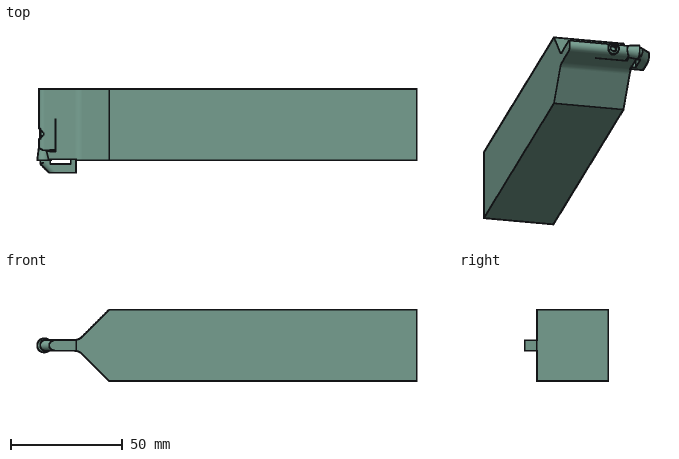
import cadquery as cq
import math


total_length = 170.0
shank_size = 32.0
shank_start = 32.25
taper_angle = 45.0
neck_fillet = 4.5

blade_thickness = 5.0
blade_recess = 0.5
nose_setback = 0.8

insert_radius = 3.2
insert_relief = 7.0
insert_depth = 4.6
heel_start = 2.6
heel_slope = 0.55

slit_width = 0.5
slit_end = 8.3
relief_slot_width = 0.1
relief_slot_top = 18.4

finger_reach = 5.5
finger_thickness = 4.8
finger_end = 17.5
finger_inner = -1.5
finger_root = 15.0
tip_start = 1.35
tip_end = 5.9

screw_y = 11.9
screw_radius = 2.5
screw_bore_depth = 3.0
screw_head_front = 0.9
screw_dome_height = 0.8
socket_flats = 2.6
socket_depth = 1.5

half_shank = shank_size / 2
half_blade = blade_thickness / 2
nose_center = nose_setback + half_blade
neck_corner = shank_start - (half_shank - half_blade) / math.tan(math.radians(taper_angle))
heel_depth = insert_depth + heel_start * heel_slope
cone_end_radius = insert_radius - heel_depth * math.tan(math.radians(insert_relief))


def make_insert():
    """Relieved round button with a flat back and a sloping heel that runs down the nose edge."""
    button = (
        cq.Workplane("XZ", origin=(insert_radius, 0, 0))
        .circle(insert_radius)
        .workplane(offset=-heel_depth)
        .circle(cone_end_radius)
        .loft(ruled=True)
    )
    profile = (
        cq.Workplane("XY")
        .moveTo(0, 0)
        .lineTo(2 * insert_radius, 0)
        .lineTo(2 * insert_radius, insert_depth)
        .lineTo(heel_start, insert_depth)
        .lineTo(0, heel_depth)
        .close()
        .extrude(insert_radius, both=True)
    )
    return button.intersect(profile)


def make_shank_and_blade():
    """Square shank tapering down to a thin blade with a full-round nose."""
    body = (
        cq.Workplane("XZ")
        .moveTo(nose_center, half_blade)
        .lineTo(neck_corner, half_blade)
        .lineTo(shank_start, half_shank)
        .lineTo(total_length, half_shank)
        .lineTo(total_length, -half_shank)
        .lineTo(shank_start, -half_shank)
        .lineTo(neck_corner, -half_blade)
        .lineTo(nose_center, -half_blade)
        .threePointArc((nose_setback, 0), (nose_center, half_blade))
        .close()
        .extrude(-shank_size)
    )
    for z in (half_blade, -half_blade):
        corner = cq.selectors.NearestToPointSelector((neck_corner, half_shank, z))
        body = body.edges(corner).fillet(neck_fillet)
    recess = cq.Workplane("XY").box(finger_end, blade_recess, shank_size, centered=(False, False, True))
    return body.cut(recess)


def make_round_nosed_bar(nose, inward):
    """Level bar with a half-round front edge through `nose`; `inward` points from the edge into the bar."""
    radius = finger_thickness / 2
    plane = cq.Plane(origin=nose, xDir=inward, normal=inward.cross(cq.Vector(0, 0, 1)))
    return (
        cq.Workplane(plane)
        .moveTo(finger_end, radius)
        .lineTo(radius, radius)
        .threePointArc((0, 0), (radius, -radius))
        .lineTo(finger_end, -radius)
        .close()
        .extrude(finger_end, both=True)
    )


def make_finger():
    """Hooked clamp finger: rooted on the blade, tip on the rake face, rounded 45 degree outer edge."""
    slope_run = finger_reach + finger_inner
    outline = (
        cq.Workplane("XY", origin=(0, 0, -finger_thickness / 2))
        .moveTo(tip_start, 0)
        .lineTo(tip_start, finger_inner)
        .lineTo(tip_start + slope_run, -finger_reach)
        .lineTo(finger_end, -finger_reach)
        .lineTo(finger_end, blade_recess)
        .lineTo(finger_root, blade_recess)
        .lineTo(finger_root, finger_inner)
        .lineTo(tip_end, finger_inner)
        .lineTo(tip_end, 0)
        .close()
        .extrude(finger_thickness)
    )
    upright_bar = make_round_nosed_bar(cq.Vector(tip_start, 0, 0), cq.Vector(1, 0, 0))
    sloping_bar = make_round_nosed_bar(cq.Vector(tip_start, finger_inner, 0), cq.Vector(1, 1, 0))
    return outline.intersect(upright_bar).intersect(sloping_bar)


def make_slit():
    """L-shaped cut through the blade that lets the nose arm flex against the insert."""
    slit_front = insert_depth - slit_width
    return (
        cq.Workplane("XY")
        .moveTo(0, slit_front)
        .lineTo(slit_end, slit_front)
        .lineTo(slit_end, relief_slot_top)
        .lineTo(slit_end - relief_slot_width, relief_slot_top)
        .lineTo(slit_end - relief_slot_width, insert_depth)
        .lineTo(0, insert_depth)
        .close()
        .extrude(blade_thickness, both=True)
    )


def add_screw(body):
    """Add a domed hexagon-socket screw head, one piece with the holder, in a bore through the nose edge."""
    bore = cq.Workplane("YZ", origin=(0, screw_y, 0)).circle(screw_radius).extrude(screw_bore_depth)
    dome_radius = (screw_radius**2 + screw_dome_height**2) / (2 * screw_dome_height)
    dome = cq.Workplane("XY").sphere(dome_radius).translate((screw_head_front + dome_radius, screw_y, 0))
    socket = (
        cq.Workplane("YZ", origin=(screw_head_front, screw_y, 0))
        .polygon(6, socket_flats, circumscribed=True)
        .extrude(socket_depth)
    )
    head = bore.intersect(dome).cut(socket)
    return body.cut(bore).union(head)


def make_holder(insert):
    """Shank, blade, finger and screw as one piece, with a seat that matches the insert."""
    slit_body = make_shank_and_blade().cut(make_slit())
    return add_screw(slit_body).union(make_finger()).cut(insert)


button_insert = make_insert()
holder = make_holder(button_insert)

result = cq.Compound.makeCompound([*holder.solids().vals(), *button_insert.solids().vals()])